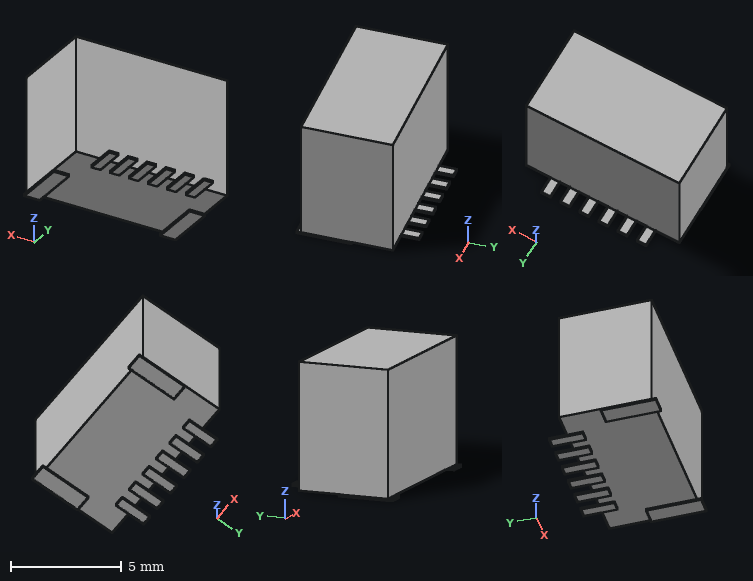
import cadquery as cq

housing_length = 8.0
housing_depth = 4.4
housing_height = 6.0

contact_thickness = 0.1

signal_count = 6
signal_pitch = 1.0
signal_width = 0.48
signal_length = 1.6
signal_overhang = 0.84

tab_width = 0.82
tab_length = 2.62
tab_overhang = 0.2


def make_housing():
    """Block centred on X and Y, with its underside at Z = 0."""
    return cq.Workplane("XY").box(
        housing_length, housing_depth, housing_height, centered=(True, True, False)
    )


def make_strip(width, length, center_x, front_y):
    """Flat strip hanging below Z = 0 and running back from front_y."""
    return (
        cq.Workplane("XY")
        .box(width, length, contact_thickness, centered=(True, False, False))
        .translate((center_x, front_y, -contact_thickness))
    )


def make_signal_contact(index):
    center_x = (index - (signal_count - 1) / 2) * signal_pitch
    front_y = housing_depth / 2 + signal_overhang - signal_length
    return make_strip(signal_width, signal_length, center_x, front_y)


def make_mounting_tab(side):
    """Tab at the -X end (side = -1) or the +X end (side = 1)."""
    center_x = side * (housing_length - tab_width) / 2
    front_y = -housing_depth / 2 - tab_overhang
    return make_strip(tab_width, tab_length, center_x, front_y)


housing = make_housing()
signal_contacts = [make_signal_contact(index) for index in range(signal_count)]
mounting_tabs = [make_mounting_tab(side) for side in (-1, 1)]

bodies = [housing, *signal_contacts, *mounting_tabs]
result = cq.Compound.makeCompound([body.val() for body in bodies])